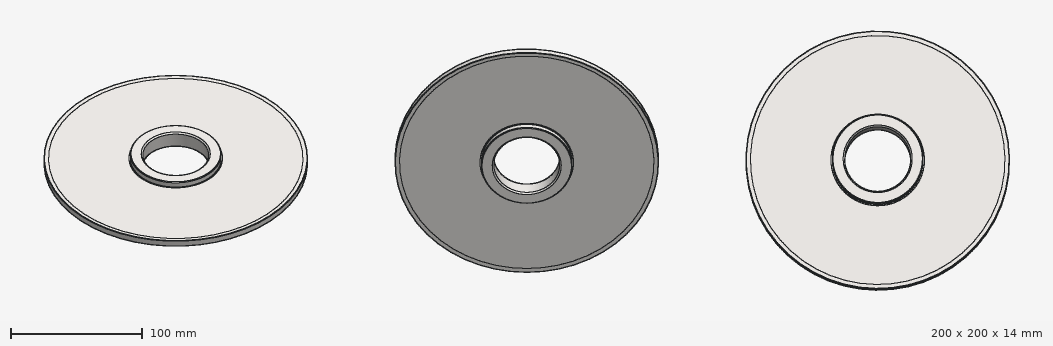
import cadquery as cq
HUB_DIAMETER = 69.0
HUB_LENGTH = 14.0
HUB_CHAMFER = 0.5
BORE_DIAMETER = 50.0
BORE_CHAMFER = 1.2
WEB_DIAMETER = 195.5
WEB_CHAMFER = 1.2

COVER_DIAMETER = 200.0
COVER_THICKNESS = 5.5
COVER_FACE_LAYER = 0.5
COVER_OPENING_DIAMETER = 71.0
COVER_CHAMFER = 0.5

WEB_THICKNESS = COVER_THICKNESS - 2 * COVER_FACE_LAYER


def cylinder(diameter, length):
    """Z-axis cylinder centred on the origin."""
    return cq.Workplane("XY").workplane(offset=-length / 2).circle(diameter / 2).extrude(length)


def make_web():
    """Flat disc with both rim edges chamfered."""
    return cylinder(WEB_DIAMETER, WEB_THICKNESS).edges().chamfer(WEB_CHAMFER)


def make_core():
    """Hub standing out equally on both sides of the web, with a chamfered bore."""
    hub = cylinder(HUB_DIAMETER, HUB_LENGTH).edges().chamfer(HUB_CHAMFER)
    core = hub.union(make_web()).cut(cylinder(BORE_DIAMETER, HUB_LENGTH))
    bore_mouths = core.edges(cq.selectors.RadiusNthSelector(0))
    return bore_mouths.chamfer(BORE_CHAMFER)


def make_cover():
    """Disc hollowed to fit the web, open around the hub with a small gap."""
    disc = cylinder(COVER_DIAMETER, COVER_THICKNESS).edges().chamfer(COVER_CHAMFER)
    hub_opening = cylinder(COVER_OPENING_DIAMETER, COVER_THICKNESS)
    return disc.cut(make_web()).cut(hub_opening)


core = make_core()
cover = make_cover()

result = cq.Compound.makeCompound([core.val(), cover.val()])